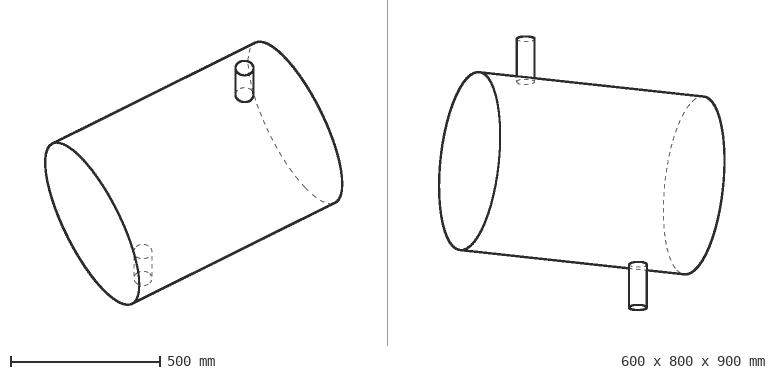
import cadquery as cq

overall_height = 900.0
drum_diameter = 600.0
drum_length = 800.0
pipe_diameter = 60.0
pipe_offset = drum_length / 4


def vertical_pipe(y, direction):
    """Round pipe from the drum axis out to the overall height; direction is +1 up, -1 down."""
    return (
        cq.Workplane("XY")
        .center(0, y)
        .circle(pipe_diameter / 2)
        .extrude(direction * overall_height / 2)
    )


drum = cq.Workplane("XZ").circle(drum_diameter / 2).extrude(drum_length / 2, both=True)

upper_pipe = vertical_pipe(pipe_offset, 1)
lower_pipe = vertical_pipe(-pipe_offset, -1)

result = drum.union(upper_pipe).union(lower_pipe)